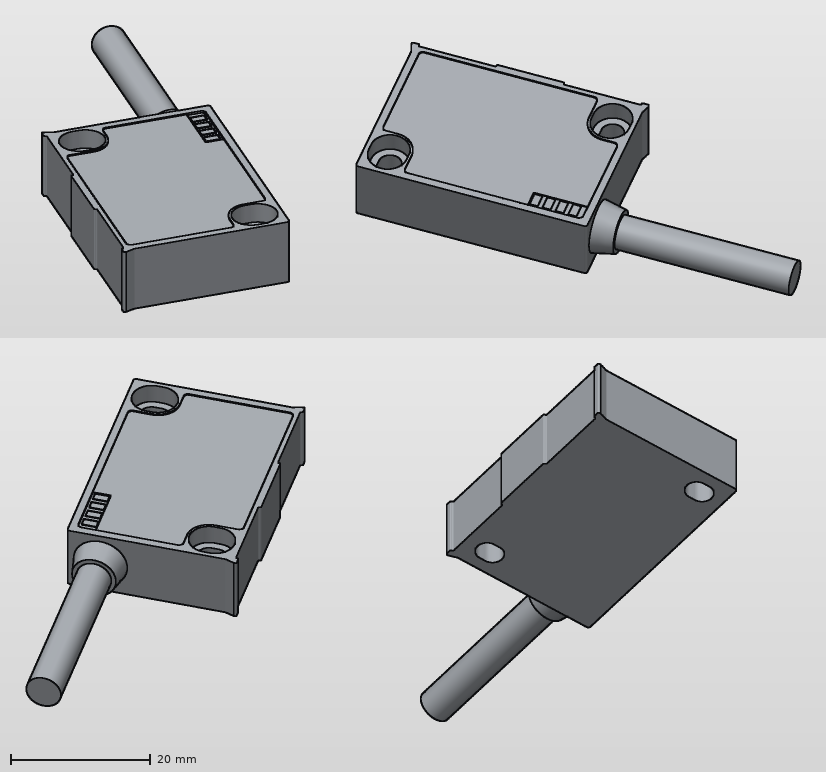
import cadquery as cq
import math

total_length = 65.7
total_depth = 25.4
height = 10.0

flare_out = 0.45
body_left = 29.95
body_right = total_length - flare_out
body_mid = (body_left + body_right) / 2
rear_corner_radius = 0.4

step_radius = 0.2
front_relief = 2 * step_radius
flare_start = 1.8
flare_end = 0.4
flare_blend_radius = 0.65
foot_tip_radius = 0.2
foot_width = 0.9
pad_width = 9.9

cable_diameter = 5.2
cable_y = total_depth - 5.0
cable_z = height / 2
boot_length = 3.4
boot_tip_diameter = 6.6
boot_root_diameter = 8.0

hole_side_inset = 3.6
rear_hole_y = total_depth - 4.15
front_hole_y = 4.8
slot_travel = 1.0
slot_width = 3.4
counterbore_width = 5.8
counterbore_depth = 3.0
holes = [
    (body_left + hole_side_inset, front_hole_y),
    (body_right - hole_side_inset, rear_hole_y),
]

panel_inset = 1.2
panel_front = 1.2
panel_depth = 0.2
panel_corner_radius = 0.65
panel_hole_gap = 0.4
panel_left = body_left + panel_inset
panel_right = body_right - panel_inset
panel_rear = total_depth - panel_inset
panel_floor = height - panel_depth

window_length = 8.3
window_width = 2.7
window_depth = 0.1
lamp_count = 4
lamp_pitch = 2.0
lamp_length = 1.25
lamp_width = 2.2
lamp_first_offset = 1.6
lamp_rear_gap = 0.4
window_floor = panel_floor - window_depth


def add_step(outline, start, x_sign, y_sign):
    """Append an S-shaped step of two quarter arcs, leaving and ending along X."""
    x, y = start
    radius_x = x_sign * step_radius
    radius_y = y_sign * step_radius
    near = math.sqrt(0.5)
    far = 1 - near
    middle = (x + radius_x, y + radius_y)
    end = (x + 2 * radius_x, y + 2 * radius_y)
    outline = outline.threePointArc((x + near * radius_x, y + far * radius_y), middle)
    return outline.threePointArc((end[0] - near * radius_x, end[1] - far * radius_y), end)


def make_housing():
    """Extrude the right half of the housing outline and mirror it to the left."""
    half_body = body_right - body_mid
    half_foot = half_body + flare_out
    foot_inner = half_foot - foot_width
    step_end = pad_width / 2 + 2 * step_radius
    outline = (
        cq.Workplane("XY")
        .moveTo(0, total_depth)
        .lineTo(half_body, total_depth)
        .lineTo(half_body, flare_start)
        .lineTo(half_foot, flare_end)
        .lineTo(half_foot, 0)
        .lineTo(foot_inner, 0)
    )
    outline = add_step(outline, (foot_inner, 0), -1, 1)
    outline = outline.lineTo(step_end, front_relief)
    outline = add_step(outline, (step_end, front_relief), -1, -1)
    half = outline.lineTo(0, 0).close().extrude(height)

    rounded_corners = [
        (half_body, total_depth, rear_corner_radius),
        (half_foot, 0, foot_tip_radius),
        (half_body, flare_start, flare_blend_radius),
    ]
    for x, y, radius in rounded_corners:
        corner = cq.NearestToPointSelector((x, y, height / 2))
        half = half.edges(corner).fillet(radius)
    return half.union(half.mirror("YZ")).translate((body_mid, 0, 0))


def make_cable():
    """Round cable running in -X from the conical boot on the housing's left side."""
    boot_tip_x = body_left - boot_length
    cable = (
        cq.Workplane("YZ", origin=(0, cable_y, cable_z))
        .circle(cable_diameter / 2)
        .extrude(body_left)
    )
    boot = (
        cq.Workplane("YZ", origin=(boot_tip_x, cable_y, cable_z))
        .circle(boot_tip_diameter / 2)
        .workplane(offset=boot_length)
        .circle(boot_root_diameter / 2)
        .loft()
    )
    return cable.union(boot)


def make_slot(width, bottom, top):
    """Slots running along Y at both mounting holes."""
    return (
        cq.Workplane("XY", origin=(0, 0, bottom))
        .pushPoints(holes)
        .slot2D(width + slot_travel, width, 90)
        .extrude(top - bottom)
    )


def make_panel():
    """Panel recess: a rectangle whose two corners step around the mounting holes."""
    notch_radius = counterbore_width / 2 + panel_hole_gap
    diagonal = notch_radius * math.sqrt(0.5)
    half_travel = slot_travel / 2
    front_x, front_arc_y = holes[0][0], holes[0][1] + half_travel
    rear_x, rear_arc_y = holes[1][0], holes[1][1] - half_travel
    panel = (
        cq.Workplane("XY", origin=(0, 0, panel_floor))
        .moveTo(panel_left, panel_rear)
        .lineTo(panel_left, front_arc_y + notch_radius)
        .lineTo(front_x, front_arc_y + notch_radius)
        .threePointArc(
            (front_x + diagonal, front_arc_y + diagonal),
            (front_x + notch_radius, front_arc_y),
        )
        .lineTo(front_x + notch_radius, panel_front)
        .lineTo(panel_right, panel_front)
        .lineTo(panel_right, rear_arc_y - notch_radius)
        .lineTo(rear_x, rear_arc_y - notch_radius)
        .threePointArc(
            (rear_x - diagonal, rear_arc_y - diagonal),
            (rear_x - notch_radius, rear_arc_y),
        )
        .lineTo(rear_x - notch_radius, panel_rear)
        .close()
        .extrude(panel_depth)
    )
    return panel.edges("|Z and (<X or >X or <Y or >Y)").fillet(panel_corner_radius)


def make_window():
    """Indicator window pocket, leaving the raised lamps standing on its floor."""
    window = (
        cq.Workplane("XY", origin=(panel_left, panel_rear, window_floor))
        .rect(window_length, -window_width, centered=False)
        .extrude(window_depth)
        .edges("|Z and <X and >Y")
        .fillet(panel_corner_radius)
    )
    lamp_y = panel_rear - lamp_rear_gap - lamp_width / 2
    for index in range(lamp_count):
        lamp_x = panel_left + lamp_first_offset + index * lamp_pitch
        lamp = (
            cq.Workplane("XY", origin=(lamp_x, lamp_y, window_floor))
            .rect(lamp_length, lamp_width)
            .extrude(window_depth)
        )
        window = window.cut(lamp)
    return window


result = (
    make_housing()
    .union(make_cable())
    .cut(make_panel())
    .cut(make_window())
    .cut(make_slot(counterbore_width, height - counterbore_depth, height))
    .cut(make_slot(slot_width, 0, height))
)